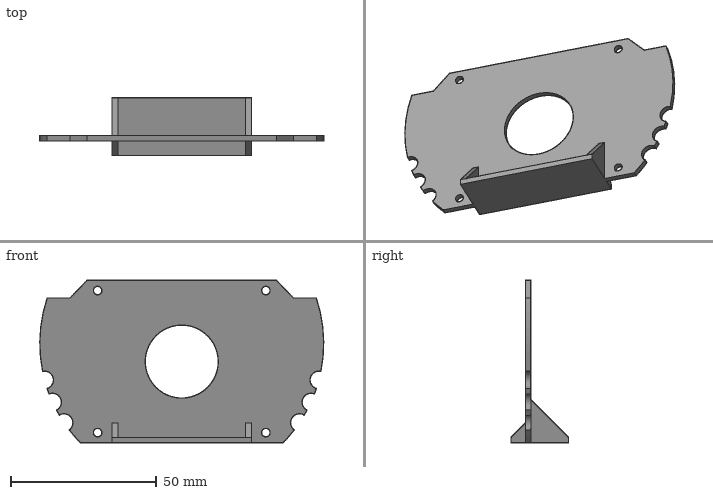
import cadquery as cq
import math

plate_thickness = 2.0
plate_height = 56.0
rim_radius = 48.9
rim_center_z = 34.3
top_half_width = 32.6
shoulder_half_width = 38.4
shoulder_z = 50.0

window_diameter = 25.0
screw_hole_diameter = 2.8
screw_spacing_x = 57.9
screw_spacing_z = 48.9

notch_radius = 3.0
first_notch_angle = 15.0
notch_angle_step = 9.5
notch_count = 3

foot_width = 48.0
foot_thickness = 2.0
foot_front_reach = 5.0
foot_rear_reach = 13.0
gusset_thickness = 2.1


def rim_half_width(z):
    """Half width of the rim circle at height z."""
    return math.sqrt(rim_radius**2 - (z - rim_center_z) ** 2)


def plate_workplane():
    """XZ workplane whose positive extrusion runs from the rear face to the front face."""
    return cq.Workplane("XZ", origin=(0, plate_thickness, 0))


def make_plate():
    bottom_half_width = rim_half_width(0)
    shoulder_rim_x = rim_half_width(shoulder_z)
    return (
        plate_workplane()
        .moveTo(-bottom_half_width, 0)
        .lineTo(bottom_half_width, 0)
        .threePointArc((rim_radius, rim_center_z), (shoulder_rim_x, shoulder_z))
        .lineTo(shoulder_half_width, shoulder_z)
        .lineTo(top_half_width, plate_height)
        .lineTo(-top_half_width, plate_height)
        .lineTo(-shoulder_half_width, shoulder_z)
        .lineTo(-shoulder_rim_x, shoulder_z)
        .threePointArc((-rim_radius, rim_center_z), (-bottom_half_width, 0))
        .close()
        .extrude(plate_thickness)
    )


def make_holes():
    middle = plate_workplane().center(0, plate_height / 2)
    window = middle.circle(window_diameter / 2).extrude(plate_thickness)
    screw_holes = (
        middle.rect(screw_spacing_x, screw_spacing_z, forConstruction=True)
        .vertices()
        .circle(screw_hole_diameter / 2)
        .extrude(plate_thickness)
    )
    return window.union(screw_holes)


def make_notches():
    centers = []
    for index in range(notch_count):
        angle = math.radians(first_notch_angle + index * notch_angle_step)
        x = rim_radius * math.cos(angle)
        z = rim_center_z - rim_radius * math.sin(angle)
        centers += [(-x, z), (x, z)]
    return plate_workplane().pushPoints(centers).circle(notch_radius).extrude(plate_thickness)


def make_base():
    depth = foot_front_reach + plate_thickness + foot_rear_reach
    return cq.Workplane("XY").box(foot_width, depth, foot_thickness, centered=(True, False, False)).translate(
        (0, -foot_front_reach, 0)
    )


def make_gusset(start_x):
    """Pair of 45 degree braces, in front of and behind the plate."""
    front_y = -foot_front_reach
    rear_y = plate_thickness + foot_rear_reach
    profile = [
        (front_y, 0),
        (rear_y, 0),
        (rear_y, foot_thickness),
        (plate_thickness, foot_thickness + foot_rear_reach),
        (0, foot_thickness + foot_front_reach),
        (front_y, foot_thickness),
    ]
    return cq.Workplane("YZ", origin=(start_x, 0, 0)).polyline(profile).close().extrude(gusset_thickness)


result = make_plate().cut(make_holes()).cut(make_notches()).union(make_base())
for gusset_start_x in (-foot_width / 2, foot_width / 2 - gusset_thickness):
    result = result.union(make_gusset(gusset_start_x))